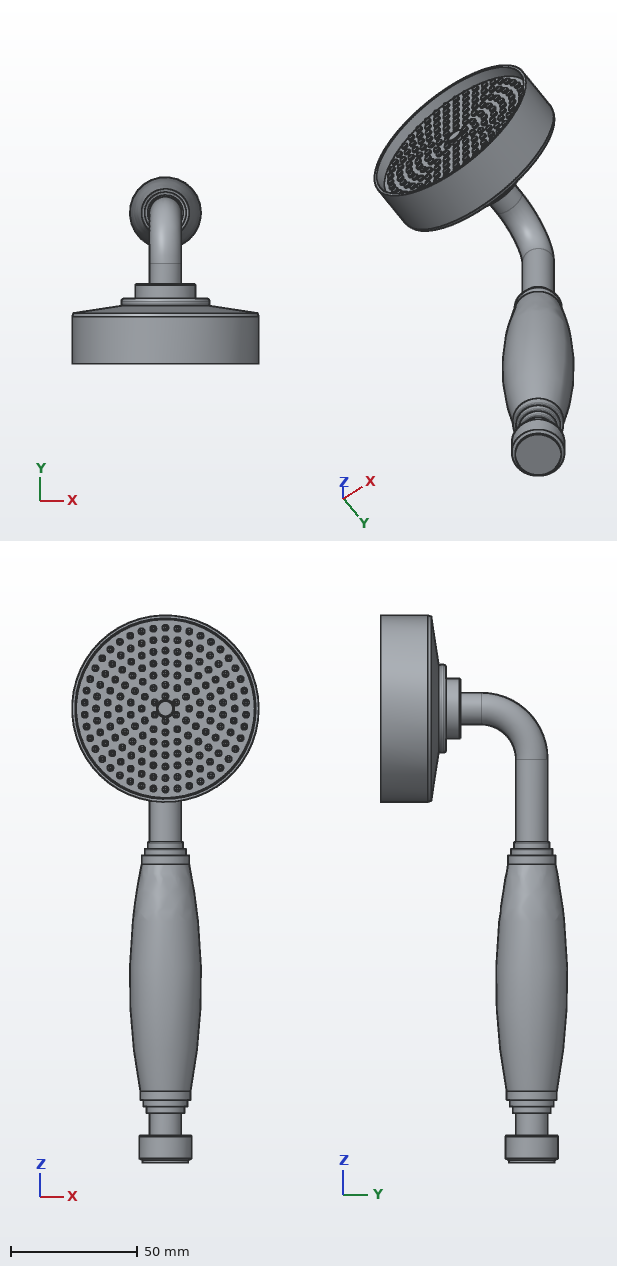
import cadquery as cq
import math


overall_depth = 74
overall_height = 216.8

head_radius = 74 / 2
rim_width = 1.2
recess_mouth_radius = head_radius - rim_width
recess_radius = 35.3
wall_end_y = 18.7
head_back_y = 20.1
back_edge_inset = 0.5
collar_radius = 35 / 2
collar_start_y = 23
collar_end_y = 25.9
collar_round = 1.2
collar_foot_round = 0.8
neck_radius = 24 / 2
neck_end_y = 31.6
neck_chamfer = 0.5

plate_recess = 4.5
plate_thickness = 3
plate_boss_radius = 7 / 2
plate_boss_height = 1.8
plate_boss_chamfer = 0.5
nozzle_radius = 2.5 / 2
nozzle_height = 1.5
nozzle_tip_chamfer = 0.7
nozzle_ring_count = 7
nozzles_in_first_ring = 6
outer_ring_radius = 32
ring_pitch = 4.52

tube_radius = 12.7 / 2
bend_radius = 20
stem_y = 59.8
stem_bottom_z = head_radius - overall_height

grip_top_z = -61.6
grip_bottom_z = -151.4
grip_top_radius = 18.9 / 2
grip_bottom_radius = 20 / 2
grip_middle_radius = overall_depth - stem_y

base_ring_height = 3.6
step_ring_height = 2.6
upper_ring_radii = (18.9 / 2, 16.5 / 2, 14.1 / 2)
lower_ring_radii = (20 / 2, 17.6 / 2, 15.2 / 2)
ring_round = 0.4

fitting_radius = 20.95 / 2
fitting_top_z = -169
fitting_chamfer = 0.4
fitting_lip_radius = 18.2 / 2
fitting_lip_height = 1
fitting_taper_height = 0.7


def disc_y(radius, start_y, end_y):
    """Cylinder on the spray axis between two Y positions."""
    return cq.Workplane("XZ", origin=(0, start_y, 0)).circle(radius).extrude(start_y - end_y)


def taper_y(start_radius, end_radius, length):
    """Cone frustum on the spray axis, from Y = 0 inward."""
    return cq.Workplane("XZ").circle(start_radius).workplane(offset=-length).circle(end_radius).loft()


def disc_z(radius, low_z, high_z):
    """Cylinder on the stem axis between two Z positions."""
    return cq.Workplane("XY", origin=(0, stem_y, low_z)).circle(radius).extrude(high_z - low_z)


def make_head():
    """Drum with a shallow conical back, a rounded collar, a neck and a tapered recess in front."""
    drum = (
        cq.Workplane("XY")
        .moveTo(0, 0)
        .lineTo(head_radius, 0)
        .lineTo(head_radius, wall_end_y)
        .lineTo(head_radius - back_edge_inset, head_back_y)
        .lineTo(collar_radius, collar_start_y)
        .lineTo(0, collar_start_y)
        .close()
        .revolve(360, (0, 0, 0), (0, 1, 0))
    )
    collar = disc_y(collar_radius, collar_start_y, collar_end_y)
    collar = collar.faces(">Y").edges().fillet(collar_round)
    collar = collar.faces("<Y").edges().fillet(collar_foot_round)
    neck = disc_y(neck_radius, collar_end_y, neck_end_y).faces(">Y").edges().chamfer(neck_chamfer)
    recess = taper_y(recess_mouth_radius, recess_radius, plate_recess)
    plate_seat = disc_y(recess_radius, plate_recess, plate_recess + plate_thickness)
    return drum.union(collar).union(neck).cut(recess).cut(plate_seat)


def nozzle_points():
    """Nozzle centres: each ring outward holds six nozzles more than the one inside it."""
    points = []
    for ring in range(1, nozzle_ring_count + 1):
        radius = outer_ring_radius - (nozzle_ring_count - ring) * ring_pitch
        count = nozzles_in_first_ring * ring
        for index in range(count):
            angle = math.pi / 2 + 2 * math.pi * index / count
            points.append((radius * math.cos(angle), radius * math.sin(angle)))
    return points


def make_spray_plate():
    """Disc at the bottom of the head recess, with a central boss and rings of blunt pointed nozzles."""
    plate = disc_y(recess_radius, plate_recess, plate_recess + plate_thickness)
    boss = disc_y(plate_boss_radius, plate_recess - plate_boss_height, plate_recess)
    boss = boss.faces("<Y").edges().chamfer(plate_boss_chamfer)
    nozzles = (
        cq.Workplane("XZ", origin=(0, plate_recess, 0))
        .pushPoints(nozzle_points())
        .circle(nozzle_radius)
        .extrude(nozzle_height)
        .faces("<Y")
        .edges()
        .chamfer(nozzle_tip_chamfer)
    )
    return plate.union(nozzles).union(boss)


def make_rings(radii, start_z, direction):
    """Rings of falling radius stacked from a grip end; direction is +1 upward or -1 downward."""
    stack = None
    near_z = start_z
    for radius in radii:
        height = base_ring_height if stack is None else step_ring_height
        far_z = near_z + direction * height
        ring = disc_z(radius, min(near_z, far_z), max(near_z, far_z))
        ring = ring.faces(">Z" if direction > 0 else "<Z").edges().fillet(ring_round)
        stack = ring if stack is None else stack.union(ring)
        near_z = far_z
    return stack


def make_end_fitting():
    """Round fitting at the foot of the stem, tapering to a narrower lip."""
    taper_end_z = stem_bottom_z + fitting_lip_height
    taper_start_z = taper_end_z + fitting_taper_height
    body = disc_z(fitting_radius, taper_start_z, fitting_top_z).faces(">Z").edges().chamfer(fitting_chamfer)
    taper = (
        cq.Workplane("XY", origin=(0, stem_y, taper_end_z))
        .circle(fitting_lip_radius)
        .workplane(offset=fitting_taper_height)
        .circle(fitting_radius)
        .loft()
    )
    lip = disc_z(fitting_lip_radius, stem_bottom_z, taper_end_z)
    return body.union(taper).union(lip)


def make_stem():
    """Bent tube from the neck down to the end fitting, with the rings that hold the grip."""
    bend_start_y = stem_y - bend_radius
    bend_middle = bend_radius * math.sqrt(0.5)
    path = (
        cq.Workplane("YZ")
        .moveTo(neck_end_y, 0)
        .lineTo(bend_start_y, 0)
        .threePointArc((bend_start_y + bend_middle, bend_middle - bend_radius), (stem_y, -bend_radius))
        .lineTo(stem_y, stem_bottom_z)
    )
    tube = cq.Workplane("XZ", origin=(0, neck_end_y, 0)).circle(tube_radius).sweep(path)
    upper_rings = make_rings(upper_ring_radii, grip_top_z, 1)
    lower_rings = make_rings(lower_ring_radii, grip_bottom_z, -1)
    return tube.union(upper_rings).union(lower_rings).union(make_end_fitting())


def make_grip():
    """Barrel-shaped sleeve around the stem, widest halfway down."""
    middle_z = (grip_top_z + grip_bottom_z) / 2
    return (
        cq.Workplane("XZ", origin=(0, stem_y, 0))
        .moveTo(tube_radius, grip_bottom_z)
        .lineTo(grip_bottom_radius, grip_bottom_z)
        .spline([(grip_middle_radius, middle_z), (grip_top_radius, grip_top_z)], includeCurrent=True)
        .lineTo(tube_radius, grip_top_z)
        .close()
        .revolve(360, (0, 0, 0), (0, 1, 0))
    )


head = make_head().solids()
spray_plate = make_spray_plate().solids()
stem = make_stem().solids()
grip = make_grip().solids()

result = cq.Compound.makeCompound([head.val(), spray_plate.val(), stem.val(), grip.val()])